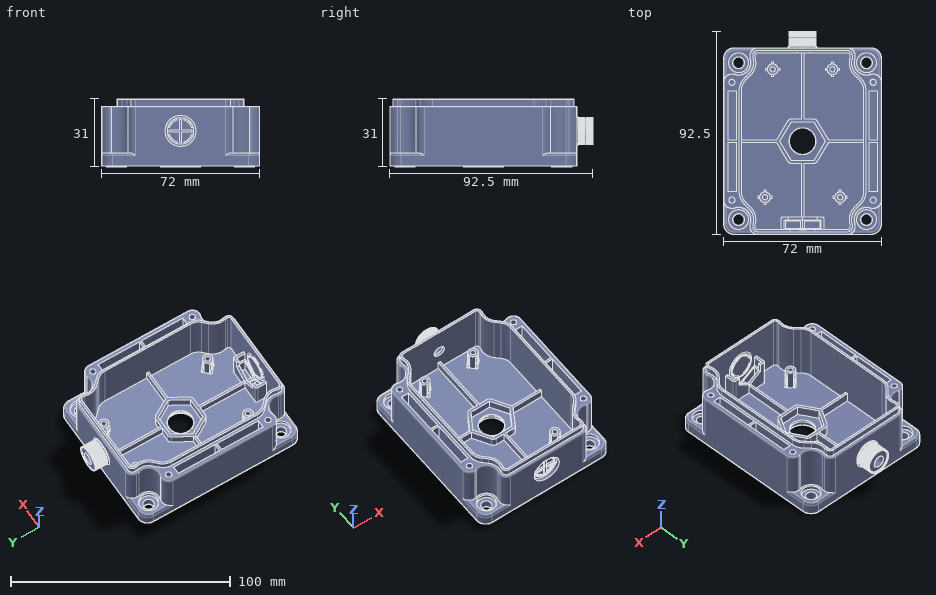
import cadquery as cq
import math

half_width = 36.0
half_length = 42.55
pad_height = 0.5
deck_z = 27.2
rim_z = 30.5
floor_z = 3.5
deck_edge_radius = 0.3

foot_x = 29.1
foot_y = 35.7
relief_radius = 5.55
relief_x = 24.0
screw_x = 32.2
screw_y = 26.8
screw_boss_radius = half_width - screw_x
end_corner_x = 20.4
end_corner_radius = relief_x - end_corner_x
end_corner_y = half_length - end_corner_radius

foot_height = 6.0
foot_edge_radius = 1.1
foot_corner_radius = 5.0
foot_hole_radius = 2.6
foot_recess_radius = 4.5
foot_recess_depth = 1.9
foot_pad_radius = 4.6

rim_step = 1.3
rim_wall = 1.0
rim_half_width = 28.9
rim_bend_y = 23.1

pocket_inner_x = 30.2
pocket_outer_x = 34.0
pocket_half_length = 22.85
pocket_rib = 1.0
screw_hole_radius = 1.4
screw_hole_depth = 11.1

centre_hole_radius = 6.0
centre_pad_radius = 9.1
centre_pad_bore_radius = 6.9
centre_pad_bore_z = 2.5
hex_half_width = 10.45
hex_half_height = 8.7
hex_wall = 1.5
hex_corner_radius = 2.3
rib_width = 1.1
rib_z = 8.05

standoff_places = [(-13.6, 32.7), (13.6, 32.7), (-17.1, -25.5), (17.1, -25.5)]
standoff_radius = 2.4
standoff_hole_radius = 1.2
standoff_z = 12.5
fin_width = 0.9
fin_reach = 3.6
fin_top_z = 11.1

port_z = 16.0
knockout_radius = 7.0
knockout_depth = 1.85
groove_outer_radius = 6.0
groove_inner_radius = 5.3
groove_depth = 2.3
disc_depth = 2.0
disc_bulge = 0.4
bridge_width = 3.1
cross_width = 1.0
cross_depth = 1.1

holder_half_width = 9.8
holder_inner_y = -34.5
holder_wall = 1.3
holder_corner_radius = 0.9
nut_half_flats = 8.5
nut_opening_half_width = 6.7
core_inner_x = 0.8
core_outer_x = 7.9
core_near_y = -36.4
core_far_y = -39.7

connector_end_y = 49.95
connector_seat_depth = 1.0
thread_radius = 6.2
thread_depth = 0.65
thread_count = 7
collar_radius = 6.8
collar_length = 0.7
bore_radius = 2.9

cos45 = math.sqrt(0.5)


def box(x0, x1, y0, y1, z0, z1):
    """Axis-aligned block between the given limits."""
    return cq.Workplane("XY").box(x1 - x0, y1 - y0, z1 - z0, centered=False).translate((x0, y0, z0))


def cylinder(radius, x, y, z0, z1):
    """Upright cylinder."""
    return cq.Workplane("XY", origin=(x, y, z0)).circle(radius).extrude(z1 - z0)


def cylinder_y(radius, y0, y1):
    """Cylinder along +Y on the port axis."""
    return cq.Workplane("XZ", origin=(0, y0, port_z)).circle(radius).extrude(y0 - y1)


def four_quarters(quarter):
    """Mirror a +X +Y quarter into a whole, symmetric solid."""
    half = quarter.union(quarter.mirror("YZ"))
    return half.union(half.mirror("XZ"))


def relief_arc_end(radius, wall_x):
    """Y where the circle around the mounting hole meets the wall at wall_x."""
    return foot_y + math.sqrt(radius**2 - (foot_x - wall_x) ** 2)


def body_block():
    """Full-height block with the four relieved corners and a softened deck edge."""
    boss_y = screw_y + screw_boss_radius
    arc_start_x = foot_x + math.sqrt(relief_radius**2 - (foot_y - boss_y) ** 2)
    quarter = (
        cq.Workplane("XY")
        .lineTo(half_width, 0)
        .lineTo(half_width, screw_y)
        .threePointArc(
            (screw_x + screw_boss_radius * cos45, screw_y + screw_boss_radius * cos45),
            (screw_x, boss_y),
        )
        .lineTo(arc_start_x, boss_y)
        .threePointArc(
            (foot_x - relief_radius * cos45, foot_y - relief_radius * cos45),
            (relief_x, relief_arc_end(relief_radius, relief_x)),
        )
        .lineTo(relief_x, end_corner_y)
        .threePointArc(
            (end_corner_x + end_corner_radius * cos45, end_corner_y + end_corner_radius * cos45),
            (end_corner_x, half_length),
        )
        .lineTo(0, half_length)
        .close()
        .extrude(deck_z)
    )
    return four_quarters(quarter).faces(">Z").edges().fillet(deck_edge_radius)


def rim_block(inset, z0, z1):
    """Solid inside the rim outline, shrunk all round by inset."""
    side_x = rim_half_width - inset
    end_y = half_length - rim_step - inset
    neck_x = relief_x - rim_step - inset
    neck_radius = relief_radius + rim_step + inset
    corner_radius = end_corner_radius - rim_step - inset
    tangent_sum = foot_x + foot_y - (relief_radius + rim_step) / cos45
    bend_outer_radius = (tangent_sum - rim_half_width - rim_bend_y) / (1 / cos45 - 1)
    bend_x = rim_half_width - bend_outer_radius
    bend_radius = bend_outer_radius - inset
    half_bend = math.radians(45 / 2)
    neck_end_y = relief_arc_end(neck_radius, neck_x)
    neck_end_angle = math.atan2(neck_end_y - foot_y, neck_x - foot_x) % (2 * math.pi)
    neck_middle = (math.radians(225) + neck_end_angle) / 2
    quarter = (
        cq.Workplane("XY", origin=(0, 0, z0))
        .lineTo(side_x, 0)
        .lineTo(side_x, rim_bend_y)
        .threePointArc(
            (bend_x + bend_radius * math.cos(half_bend), rim_bend_y + bend_radius * math.sin(half_bend)),
            (bend_x + bend_radius * cos45, rim_bend_y + bend_radius * cos45),
        )
        .lineTo(foot_x - neck_radius * cos45, foot_y - neck_radius * cos45)
        .threePointArc(
            (foot_x + neck_radius * math.cos(neck_middle), foot_y + neck_radius * math.sin(neck_middle)),
            (neck_x, neck_end_y),
        )
        .lineTo(neck_x, end_corner_y)
        .threePointArc(
            (end_corner_x + corner_radius * cos45, end_corner_y + corner_radius * cos45),
            (end_corner_x, end_y),
        )
        .lineTo(0, end_y)
        .close()
        .extrude(z1 - z0)
    )
    return four_quarters(quarter)


def base_block():
    """Soft-edged, round-cornered base plate whose corners form the mounting feet."""
    return (
        cq.Workplane("XY")
        .rect(2 * half_width, 2 * half_length)
        .extrude(foot_height)
        .edges("|Z")
        .fillet(foot_corner_radius)
        .faces(">Z")
        .edges()
        .fillet(foot_edge_radius)
    )


def hexagon(half_w, half_h, z0, z1):
    """Hexagonal prism with points on the X axis; half_h is the Y half size."""
    top_x = half_w / 2
    outline = [
        (half_w, 0),
        (top_x, half_h),
        (-top_x, half_h),
        (-half_w, 0),
        (-top_x, -half_h),
        (top_x, -half_h),
    ]
    return cq.Workplane("XY", origin=(0, 0, z0)).polyline(outline).close().extrude(z1 - z0)


def floor_ribs():
    """Cross of ribs with a solid hexagon at its centre."""
    cavity_x = rim_half_width
    cavity_y = half_length - rim_step
    half_rib = rib_width / 2
    ribs = box(-cavity_x, cavity_x, -half_rib, half_rib, 0, rib_z)
    ribs = ribs.union(box(-half_rib, half_rib, holder_inner_y, cavity_y, 0, rib_z))
    slope = math.hypot(hex_half_width / 2, hex_half_height) / hex_half_height
    outer_hex = hexagon(hex_half_width + hex_wall * slope, hex_half_height + hex_wall, 0, rib_z)
    outer_hex = outer_hex.edges("|Z").edges(">Y or <Y").fillet(hex_corner_radius)
    return ribs.union(outer_hex)


def standoff(x, y):
    """Screw post with four tapering fins."""
    post = cylinder(standoff_radius, 0, 0, 0, standoff_z)
    fin = (
        cq.Workplane("XZ")
        .moveTo(-fin_reach, 0)
        .lineTo(fin_reach, 0)
        .lineTo(standoff_radius, fin_top_z)
        .lineTo(-standoff_radius, fin_top_z)
        .close()
        .extrude(fin_width / 2, both=True)
    )
    post = post.union(fin).union(fin.rotate((0, 0, 0), (0, 0, 1), 90))
    post = post.cut(cylinder(standoff_hole_radius, 0, 0, floor_z, standoff_z))
    return post.translate((x, y, 0))


def nut_trough(half_flats, y0, y1):
    """Lower half of a point-down hexagonal nut on the port axis, open upwards."""
    shoulder = half_flats * math.tan(math.radians(30))
    point = half_flats / math.cos(math.radians(30))
    outline = [
        (-half_flats, 0),
        (-half_flats, -shoulder),
        (0, -point),
        (half_flats, -shoulder),
        (half_flats, 0),
    ]
    return (
        cq.Workplane("XZ", origin=(0, y0, port_z))
        .polyline(outline)
        .close()
        .extrude(y0 - y1)
    )


def nut_holder():
    """Block behind the knockout that cradles a hexagonal nut, with two cored pockets."""
    wall_y = rim_step - half_length
    holder = box(-holder_half_width, holder_half_width, wall_y, holder_inner_y, 0, port_z)
    holder = holder.edges("|Z and >Y").fillet(holder_corner_radius)
    cavity_y = wall_y + rim_wall
    holder = holder.cut(nut_trough(nut_half_flats, cavity_y, holder_inner_y - holder_wall))
    holder = holder.cut(nut_trough(nut_opening_half_width, cavity_y, holder_inner_y))
    for x0, x1 in ((-core_outer_x, -core_inner_x), (core_inner_x, core_outer_x)):
        holder = holder.cut(box(x0, x1, core_far_y, core_near_y, floor_z, port_z))
    return holder


def crossed_bars(reach, width, y0, y1):
    """Upright and level bars crossing on the port axis."""
    bar = box(-reach, reach, y0, y1, -width / 2, width / 2)
    upright = bar.rotate((0, 0, 0), (0, 1, 0), 90)
    return bar.union(upright).translate((0, 0, port_z))


def add_knockout(housing):
    """Round recess in the front wall with a break-out disc, a bridged groove and a raised cross."""
    front_y = -half_length
    recess_y = front_y + knockout_depth
    disc_y = front_y + disc_depth
    groove_y = front_y + groove_depth
    inside_y = rim_step + rim_wall - half_length
    housing = housing.union(cylinder_y(groove_outer_radius, front_y, inside_y + disc_bulge))
    housing = housing.cut(cylinder_y(knockout_radius, front_y, recess_y))
    housing = housing.cut(cylinder_y(groove_outer_radius, recess_y, disc_y))
    groove = cylinder_y(groove_outer_radius, recess_y, groove_y)
    groove = groove.cut(cylinder_y(groove_inner_radius, recess_y, groove_y))
    groove = groove.cut(crossed_bars(groove_outer_radius, bridge_width, recess_y, groove_y))
    housing = housing.cut(groove)
    return housing.union(crossed_bars(groove_inner_radius, cross_width, front_y + cross_depth, disc_y))


def make_housing():
    """Open-topped enclosure with mounting feet, sealing rim, inside fittings and end-wall ports."""
    housing = body_block().union(base_block())
    housing = housing.union(rim_block(0, floor_z, rim_z))
    housing = housing.union(cylinder(centre_pad_radius, 0, 0, -pad_height, floor_z))
    corners = [(sx, sy) for sx in (-1, 1) for sy in (-1, 1)]
    for sx, sy in corners:
        housing = housing.union(cylinder(foot_pad_radius, sx * foot_x, sy * foot_y, -pad_height, floor_z))
    housing = housing.cut(rim_block(rim_wall, floor_z, rim_z))

    housing = housing.union(floor_ribs())
    housing = housing.cut(hexagon(hex_half_width, hex_half_height, floor_z, rib_z))
    for x, y in standoff_places:
        housing = housing.union(standoff(x, y))
    housing = housing.union(nut_holder())

    housing = housing.cut(cylinder(centre_hole_radius, 0, 0, centre_pad_bore_z, floor_z))
    housing = housing.cut(cylinder(centre_pad_bore_radius, 0, 0, -pad_height, centre_pad_bore_z))
    recess_z = foot_height - foot_recess_depth
    for sx, sy in corners:
        x, y = sx * foot_x, sy * foot_y
        housing = housing.cut(cylinder(foot_hole_radius, x, y, -pad_height, foot_height))
        housing = housing.cut(cylinder(foot_recess_radius, x, y, recess_z, foot_height))
        screw_bottom_z = deck_z - screw_hole_depth
        housing = housing.cut(cylinder(screw_hole_radius, sx * screw_x, sy * screw_y, screw_bottom_z, deck_z))
        pocket = box(pocket_inner_x, pocket_outer_x, pocket_rib / 2, pocket_half_length, floor_z, deck_z)
        if sx < 0:
            pocket = pocket.mirror("YZ")
        if sy < 0:
            pocket = pocket.mirror("XZ")
        housing = housing.cut(pocket)

    housing = add_knockout(housing)
    seat_y = half_length - connector_seat_depth
    housing = housing.cut(cylinder_y(thread_radius, seat_y, half_length))
    return housing.cut(cylinder_y(bore_radius, half_length - rim_step - rim_wall, seat_y))


def make_connector():
    """Ridged tube with a conical collar, seated in the rear wall."""
    core_radius = thread_radius - thread_depth
    collar_end_y = half_length + collar_length
    seat_y = half_length - connector_seat_depth
    profile = [
        (bore_radius, seat_y),
        (thread_radius, seat_y),
        (thread_radius, half_length),
        (collar_radius, half_length),
        (thread_radius, collar_end_y),
    ]
    thread_pitch = (connector_end_y - collar_end_y) / thread_count
    for turn in range(thread_count):
        tooth_y = collar_end_y + turn * thread_pitch
        profile.append((core_radius, tooth_y))
        profile.append((core_radius, tooth_y + thread_pitch / 2))
        profile.append((thread_radius, tooth_y + thread_pitch / 2))
        profile.append((thread_radius, tooth_y + thread_pitch))
    profile.append((bore_radius, connector_end_y))
    tube = cq.Workplane("XY").polyline(profile).close().revolve(360, (0, 0, 0), (0, 1, 0))
    return tube.translate((0, 0, port_z))


housing = make_housing()
connector = make_connector()
result = cq.Compound.makeCompound([housing.val(), connector.val()])